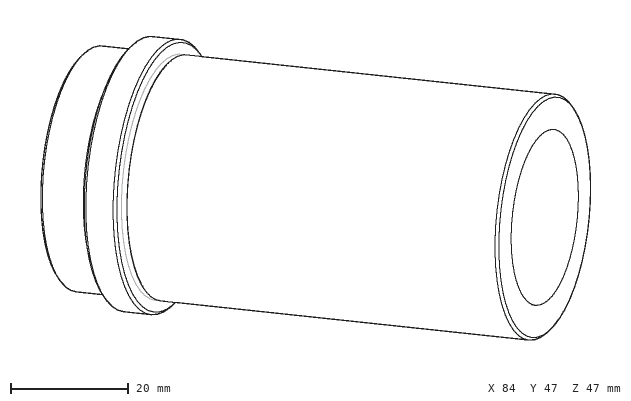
import cadquery as cq

length = 84.0
bore_radius = 30.0 / 2
body_radius = 42.0 / 2
collar_radius = 47.0 / 2
edge_chamfer = 0.5

collar_start = 9.0
collar_width = 6.0
collar_end = collar_start + collar_width

groove_radius = 0.5
groove_width = 2 * groove_radius

start_x = -length / 2


def chamfered_cylinder(x_from, x_to, radius):
    """Cylinder on the X axis with both rims chamfered; distances run from the short end."""
    return (
        cq.Workplane("YZ", origin=(start_x + x_from, 0, 0))
        .circle(radius)
        .extrude(x_to - x_from)
        .edges("%CIRCLE")
        .chamfer(edge_chamfer)
    )


def relief_groove(x_center):
    """Ring of round section around the X axis, centred on the body surface."""
    axis_start = (0, 0, 0)
    axis_end = (1, 0, 0)
    return (
        cq.Workplane("XY")
        .moveTo(start_x + x_center, body_radius)
        .circle(groove_radius)
        .revolve(360, axis_start, axis_end)
    )


def bore():
    """Through hole along the full length."""
    return cq.Workplane("YZ", origin=(start_x, 0, 0)).circle(bore_radius).extrude(length)


body = chamfered_cylinder(0, length, body_radius)
for groove_center in (collar_start - groove_width / 2, collar_end + groove_width / 2):
    body = body.cut(relief_groove(groove_center))

collar = chamfered_cylinder(collar_start, collar_end, collar_radius)

result = body.union(collar).cut(bore())